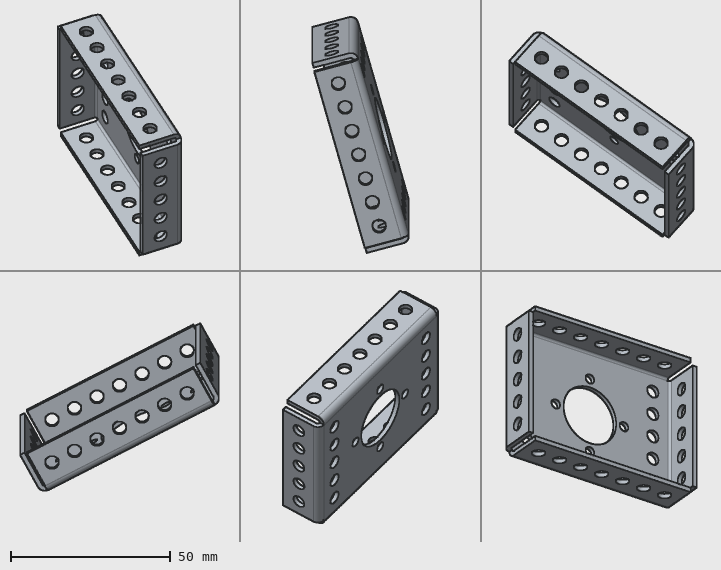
import cadquery as cq

LENGTH = 64.0
HEIGHT = 48.0
DEPTH = 14.3
THICKNESS = 1.6
INNER_BEND_RADIUS = THICKNESS / 2
OUTER_BEND_RADIUS = INNER_BEND_RADIUS + THICKNESS

PITCH = 8.0
MOUNT_HOLE_DIAMETER = 4.2
HOLES_PER_LONG_FLANGE = 7
HOLES_PER_SHORT_FLANGE = 5
HOLE_COLUMN_X = (HOLES_PER_LONG_FLANGE - 1) / 2 * PITCH
FLANGE_HOLE_Y = -PITCH

OPENING_DIAMETER = 20.0
SCREW_HOLE_DIAMETER = 3.2
SCREW_CIRCLE_RADIUS = 13.0
SCREW_COUNT = 4


def channel(width, run):
    """U-channel open towards -Y, its section in XY and its run centred along Z."""
    outer = (
        cq.Workplane("XY")
        .box(width, DEPTH, run, centered=(True, False, True))
        .translate((0, -DEPTH, 0))
        .edges("|Z and >Y")
        .fillet(OUTER_BEND_RADIUS)
    )
    inner = (
        cq.Workplane("XY")
        .box(width - 2 * THICKNESS, DEPTH, run, centered=(True, False, True))
        .translate((0, -DEPTH - THICKNESS, 0))
        .edges("|Z and >Y")
        .fillet(INNER_BEND_RADIUS)
    )
    return outer.cut(inner)


def row(count):
    """Positions of equally pitched holes, centred on zero."""
    return [(i - (count - 1) / 2) * PITCH for i in range(count)]


def drill(plane, points, diameter):
    """Cylinders that pass through the whole part, normal to the plane."""
    return cq.Workplane(plane).pushPoints(points).circle(diameter / 2).extrude(LENGTH, both=True)


short_flanges = channel(LENGTH, HEIGHT - 2 * OUTER_BEND_RADIUS)
long_flanges = channel(HEIGHT, LENGTH - 2 * OUTER_BEND_RADIUS).rotate((0, 0, 0), (0, 1, 0), 90)
tray = short_flanges.union(long_flanges)

long_points = [(x, FLANGE_HOLE_Y) for x in row(HOLES_PER_LONG_FLANGE)]
tray = tray.cut(drill("XY", long_points, MOUNT_HOLE_DIAMETER))

short_points = [(FLANGE_HOLE_Y, z) for z in row(HOLES_PER_SHORT_FLANGE)]
tray = tray.cut(drill("YZ", short_points, MOUNT_HOLE_DIAMETER))

plate_points = [(x, z) for x in (-HOLE_COLUMN_X, HOLE_COLUMN_X) for z in row(HOLES_PER_SHORT_FLANGE)]
tray = tray.cut(drill("XZ", plate_points, MOUNT_HOLE_DIAMETER))

tray = tray.cut(drill("XZ", [(0, 0)], OPENING_DIAMETER))
screw_holes = (
    cq.Workplane("XZ")
    .polarArray(SCREW_CIRCLE_RADIUS, 0, 360, SCREW_COUNT)
    .circle(SCREW_HOLE_DIAMETER / 2)
    .extrude(DEPTH, both=True)
)

result = tray.cut(screw_holes)